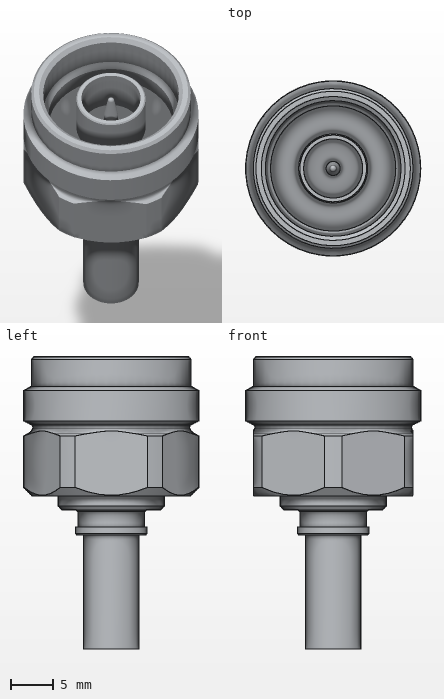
import cadquery as cq

total_height = 34.7
rim_radius = 9.47
sleeve_diameter = 20.8
sleeve_radius = sleeve_diameter / 2

rim_chamfer = 0.3
band_top_z = 30.67
band_top_cone_z = 31.2
band_bottom_z = 27.1

groove_top = (9.45, 26.6)
groove_waist = (9.35, 26.15)
groove_bottom = (9.82, 25.6)

nut_sides = 6
across_flats = 2 * rim_radius
nut_corner_top_z = 25.3
nut_bottom_z = 18.15
nut_bottom_chamfer = 1.05

flange_radius = 6.3
flange_bottom_z = 16.5
flange_chamfer = 0.5
neck_radius = 3.95
neck_cone = 0.2
collar_radius = 4.27
collar_top_z = 14.5
collar_bottom_z = 13.55
collar_chamfer = 0.2
ferrule_radius = 3.3

mouth_radius = 8.55
mouth_chamfer = 0.5
mouth_chamfer_depth = 0.4
bore_radius = mouth_radius - mouth_chamfer
bore_bottom_z = 30.78
socket_radius = 7.43
socket_top_z = 30.2
floor_z = 28.2

contact_radius = 4.1
contact_bore_radius = 3.5
contact_top_z = 33.52
contact_chamfer = 0.15
pin_radius = 0.85
pin_taper_start_z = 30.55
pin_tip_radius = 0.38
pin_top_z = 33.5


def revolve_profile(profile):
    """Turn a closed (radius, z) profile one full turn about the Z axis."""
    return profile.close().revolve(360, (0, 0, 0), (0, 1, 0))


def coupling_body():
    """Grip band, rim and groove, down to the bottom of the nut's turned envelope."""
    return revolve_profile(
        cq.Workplane("XZ")
        .moveTo(0, nut_bottom_z)
        .lineTo(sleeve_radius - nut_bottom_chamfer, nut_bottom_z)
        .lineTo(sleeve_radius, nut_bottom_z + nut_bottom_chamfer)
        .lineTo(sleeve_radius, nut_corner_top_z)
        .lineTo(*groove_bottom)
        .tangentArcPoint(groove_waist, relative=False)
        .tangentArcPoint(groove_top, relative=False)
        .lineTo(sleeve_radius, band_bottom_z)
        .lineTo(sleeve_radius, band_top_z)
        .lineTo(rim_radius, band_top_cone_z)
        .lineTo(rim_radius, total_height - rim_chamfer)
        .lineTo(rim_radius - rim_chamfer, total_height)
        .lineTo(0, total_height)
    )


def outside_hexagon():
    """Material to remove around the nut, with two flats facing +X and -X."""
    height = groove_waist[1] - nut_bottom_z
    blank = cq.Workplane("XY").workplane(offset=nut_bottom_z)
    hexagon = blank.polygon(nut_sides, across_flats, circumscribed=True).extrude(height)
    return blank.circle(2 * sleeve_radius).extrude(height).cut(hexagon)


def crimp_end():
    """Stepped flange, neck, collar and ferrule below the nut."""
    return revolve_profile(
        cq.Workplane("XZ")
        .moveTo(0, 0)
        .lineTo(ferrule_radius, 0)
        .lineTo(ferrule_radius, collar_bottom_z)
        .lineTo(collar_radius - collar_chamfer, collar_bottom_z)
        .lineTo(collar_radius, collar_bottom_z + collar_chamfer)
        .lineTo(collar_radius, collar_top_z)
        .lineTo(neck_radius, collar_top_z)
        .lineTo(neck_radius, flange_bottom_z - neck_cone)
        .lineTo(neck_radius + neck_cone, flange_bottom_z)
        .lineTo(flange_radius - flange_chamfer, flange_bottom_z)
        .lineTo(flange_radius, flange_bottom_z + flange_chamfer)
        .lineTo(flange_radius, nut_bottom_z)
        .lineTo(0, nut_bottom_z)
    )


def cavity():
    """Stepped bore open at the top of the rim."""
    return revolve_profile(
        cq.Workplane("XZ")
        .moveTo(0, floor_z)
        .lineTo(socket_radius, floor_z)
        .lineTo(socket_radius, socket_top_z)
        .lineTo(bore_radius, bore_bottom_z)
        .lineTo(bore_radius, total_height - mouth_chamfer_depth)
        .lineTo(mouth_radius, total_height)
        .lineTo(0, total_height)
    )


def contact_tube():
    """Thin outer contact around the pin, standing on the floor of the cavity."""
    return (
        cq.Workplane("XY")
        .workplane(offset=floor_z)
        .circle(contact_radius)
        .extrude(contact_top_z - floor_z)
        .faces(">Z")
        .chamfer(contact_chamfer)
        .faces(">Z")
        .workplane()
        .circle(contact_bore_radius)
        .cutBlind(floor_z - contact_top_z)
    )


def centre_pin():
    """Tapered pin with a hemispherical tip."""
    tip_centre_z = pin_top_z - pin_tip_radius
    return revolve_profile(
        cq.Workplane("XZ")
        .moveTo(0, floor_z)
        .lineTo(pin_radius, floor_z)
        .lineTo(pin_radius, pin_taper_start_z)
        .lineTo(pin_tip_radius, tip_centre_z)
        .radiusArc((0, pin_top_z), -pin_tip_radius)
    )


result = (
    coupling_body()
    .cut(outside_hexagon())
    .union(crimp_end())
    .cut(cavity())
    .union(contact_tube())
    .union(centre_pin())
)